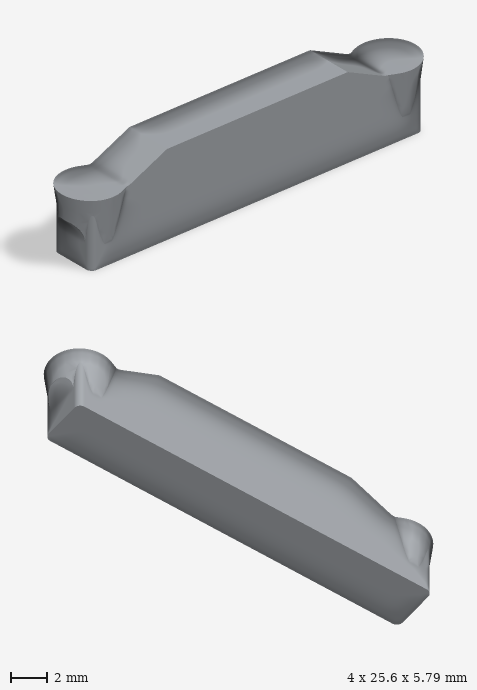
import cadquery as cq
import math

shank_width = 3.2
shank_height = 5.79
corner_radius = 0.4
end_overhang = 0.74

head_spacing = 21.64
head_radius = 2.0
head_top = 4.5
head_taper = 7.0
neck_half_angle = 23.6
dish_radius = 50.0

trim_allowance = 0.3

crown_half_length = 6.56
ramp_angle = 25.0
ramp_blend_radius = 0.75

relief_bottom = 1.63
relief_top = 2.81
relief_depth = 0.5

head_center = head_spacing / 2
half_length = head_center + head_radius
shank_half_length = half_length - end_overhang


def make_shank():
    bar = cq.Workplane("XY").box(
        shank_width, 2 * shank_half_length, shank_height, centered=(True, True, False)
    )
    return bar.edges("|Z").fillet(corner_radius)


def make_head():
    """Tapered teardrop at +Y: a round nose whose tangent flanks run back into the shank."""
    height = head_top + trim_allowance
    radius = head_radius + trim_allowance * math.tan(math.radians(head_taper))
    neck = math.radians(neck_half_angle)
    tangent_x = radius * math.cos(neck)
    tangent_y = head_center - radius * math.sin(neck)
    apex_y = head_center - radius / math.sin(neck)
    return (
        cq.Workplane("XY", origin=(0, 0, height))
        .moveTo(0, apex_y)
        .lineTo(tangent_x, tangent_y)
        .threePointArc((0, head_center + radius), (-tangent_x, tangent_y))
        .close()
        .extrude(-height, taper=head_taper)
    )


def make_envelope_half():
    """Side outline of the +Y half; it trims the head top, the ramp and the relief."""
    ramp = math.radians(ramp_angle)
    ramp_foot = crown_half_length + (shank_height - head_top) / math.tan(ramp)
    blend_length = ramp_blend_radius * math.tan(ramp / 2)
    blend_start = (ramp_foot - blend_length * math.cos(ramp), head_top + blend_length * math.sin(ramp))
    blend_middle = (
        ramp_foot + blend_length - ramp_blend_radius * math.sin(ramp / 2),
        head_top + ramp_blend_radius * (1 - math.cos(ramp / 2)),
    )
    blend_end = (ramp_foot + blend_length, head_top)

    def dish_height(distance):
        return head_top + dish_radius - math.sqrt(dish_radius**2 - distance**2)

    nose = half_length + trim_allowance
    dish_length = nose - head_center
    dish_middle = (head_center + dish_length / 2, dish_height(dish_length / 2))
    dish_end = (nose, dish_height(dish_length))

    relief_rise = relief_top - relief_bottom
    relief_radius = (relief_rise**2 + relief_depth**2) / (2 * relief_depth)
    relief_angle = math.asin(relief_rise / relief_radius)
    relief_middle = (
        shank_half_length + relief_radius * (1 - math.cos(relief_angle / 2)),
        relief_bottom + relief_radius * math.sin(relief_angle / 2),
    )
    relief_end = (shank_half_length + relief_depth, relief_top)

    return (
        cq.Workplane("YZ")
        .moveTo(0, 0)
        .lineTo(0, shank_height)
        .lineTo(crown_half_length, shank_height)
        .lineTo(*blend_start)
        .threePointArc(blend_middle, blend_end)
        .lineTo(head_center, head_top)
        .threePointArc(dish_middle, dish_end)
        .lineTo(nose, relief_top)
        .lineTo(*relief_end)
        .threePointArc(relief_middle, (shank_half_length, relief_bottom))
        .lineTo(shank_half_length, 0)
        .close()
        .extrude(head_radius + trim_allowance, both=True)
    )


def both_ends(half):
    """Join a +Y shape with its mirror image at -Y."""
    return half.union(half.mirror("XZ"))


blank = make_shank().union(both_ends(make_head()))
result = blank.intersect(both_ends(make_envelope_half()))